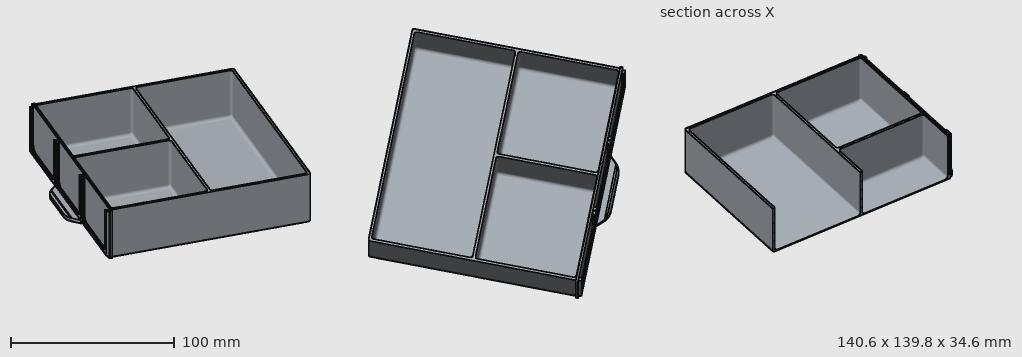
import cadquery as cq
import math


body_width = 138.4
body_depth = 130.8
body_height = 34.0
wall = 1.7
floor = 1.0
back_corner_radius = 1.1
bottom_edge_radius = 1.7

pocket_corner_radius = 1.7
pocket_floor_radius = 2.1
front_pocket_depth = 62.9
pocket_x = body_width / 2 - wall
divider_front = wall + front_pocket_depth
divider_back = divider_front + wall

plate_width = 140.6
plate_height = 34.6
plate_thickness = 1.4
plate_corner_radius = 1.7

holder_count = 3
holder_span = 137.2
holder_gap = 0.5
holder_top = 32.9
holder_thickness = 2.0
holder_bottom_back = 0.1
holder_bottom_front = holder_bottom_back + holder_thickness
holder_pitch = (holder_span + holder_gap) / holder_count
holder_width = holder_pitch - holder_gap

rim = 2.4
opening_bottom = 3.8
opening_radius = 3.2
lip_thickness = 1.0
slot_depth = holder_thickness - lip_thickness

handle_reach = 7.0
handle_thickness = 2.4
handle_width = holder_width
handle_bend_radius = 9.8
ridge_height = 1.4
handle_front = -holder_thickness - handle_reach
ridge_top = handle_thickness + ridge_height


def box_between(x_min, x_max, y_min, y_max, z_min, z_max):
    size = (x_max - x_min, y_max - y_min, z_max - z_min)
    return cq.Workplane("XY").box(*size, centered=False).translate((x_min, y_min, z_min))


def make_body():
    body = box_between(-body_width / 2, body_width / 2, 0, body_depth, 0, body_height)
    body = body.edges("|Z and >Y").fillet(back_corner_radius)
    return body.faces("<Z").edges("not <Y").fillet(bottom_edge_radius)


def make_pocket(x_min, x_max, y_min, y_max):
    """Open-topped compartment with rounded corners and a rounded floor edge."""
    pocket = box_between(x_min, x_max, y_min, y_max, floor, plate_height)
    pocket = pocket.edges("|Z").fillet(pocket_corner_radius)
    return pocket.faces("<Z").edges().fillet(pocket_floor_radius)


def make_plate():
    plate = box_between(-plate_width / 2, plate_width / 2, 0, plate_thickness, 0, plate_height)
    return plate.edges("|Y").fillet(plate_corner_radius)


def make_window(spread):
    """U-shaped window outline in the plane Y = 0, larger than the opening by spread all round.

    Its rounded upper corners lie above the holder, which leaves the window open at the top.
    """
    bottom = opening_bottom - spread
    top = holder_top + opening_radius + 2 * spread
    return (
        cq.Sketch()
        .push([(0, (bottom + top) / 2)])
        .rect(holder_width - 2 * (rim - spread), top - bottom)
        .reset()
        .vertices()
        .fillet(opening_radius + spread)
    )


def make_holder():
    """Label holder centred on X = 0, with a 45 degree underside."""
    profile = [
        (0, holder_bottom_back),
        (-holder_thickness, holder_bottom_front),
        (-holder_thickness, holder_top),
        (0, holder_top),
    ]
    block = cq.Workplane("YZ").polyline(profile).close().extrude(holder_width / 2, both=True)
    opening = cq.Workplane("XZ").placeSketch(make_window(0)).extrude(holder_thickness)
    slot = cq.Workplane("XZ").placeSketch(make_window(slot_depth)).extrude(slot_depth, taper=45)
    return block.cut(opening).cut(slot)


def make_handle():
    """Handle plate whose front edge is raised into a ridge with 45 degree flanks."""
    bend_run = handle_bend_radius * math.sin(math.pi / 4)
    bend_rise = handle_bend_radius * (1 - math.cos(math.pi / 4))
    side_run = handle_reach - bend_rise
    tangent_x = handle_width / 2 - side_run
    tangent_y = handle_front + bend_rise
    flat_x = tangent_x - bend_run
    mid_x = flat_x + handle_bend_radius * math.sin(math.pi / 8)
    mid_y = handle_front + handle_bend_radius * (1 - math.cos(math.pi / 8))
    handle = (
        cq.Workplane("XY")
        .moveTo(-handle_width / 2, 0)
        .lineTo(-handle_width / 2, -holder_thickness)
        .lineTo(-tangent_x, tangent_y)
        .threePointArc((-mid_x, mid_y), (-flat_x, handle_front))
        .lineTo(flat_x, handle_front)
        .threePointArc((mid_x, mid_y), (tangent_x, tangent_y))
        .lineTo(handle_width / 2, -holder_thickness)
        .lineTo(handle_width / 2, 0)
        .close()
        .extrude(ridge_top)
    )
    handle = handle.faces(">Z").edges("not (>Y or |Y)").chamfer(ridge_height)
    ridge_crest = handle_front + ridge_height
    above_plate = (
        cq.Workplane("YZ")
        .moveTo(0, handle_thickness)
        .lineTo(ridge_crest + ridge_height, handle_thickness)
        .lineTo(ridge_crest, ridge_top)
        .lineTo(0, ridge_top)
        .close()
        .extrude(handle_width, both=True)
    )
    return handle.cut(above_plate)


result = make_body().union(make_plate())
result = result.cut(make_pocket(-pocket_x, pocket_x, divider_back, body_depth - wall))
result = result.cut(make_pocket(-pocket_x, -wall / 2, wall, divider_front))
result = result.cut(make_pocket(wall / 2, pocket_x, wall, divider_front))

holder = make_holder()
for index in range(holder_count):
    holder_x = (index - (holder_count - 1) / 2) * holder_pitch
    result = result.union(holder.translate((holder_x, 0, 0)))

result = result.union(make_handle())